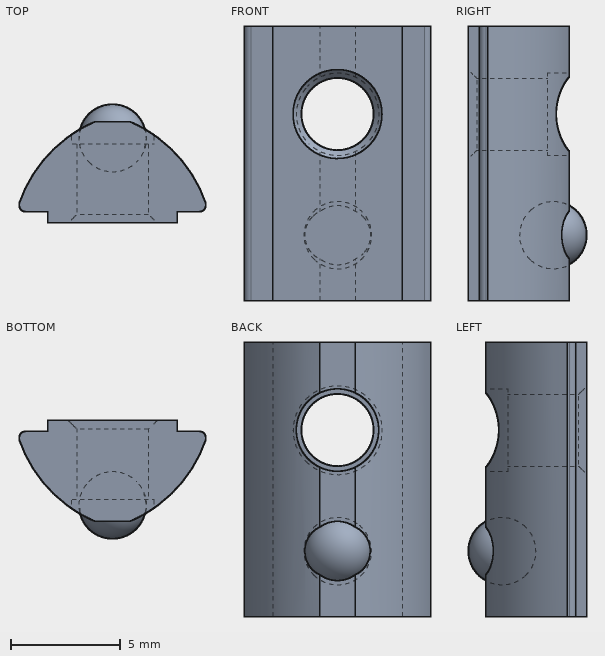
import cadquery as cq

LENGTH = 12.5
WIDTH = 8.5
HEIGHT = 4.6

TONGUE_WIDTH = 5.9
TONGUE_HEIGHT = 0.5
CREST_WIDTH = 1.6
CORNER_RADIUS = 0.3
FLANK_START_Y = 0.89
FLANK_RADIUS = 6.25

HOLE_DIAMETER = 3.28
HOLE_Z = 8.5
MOUTH_DIAMETER = 4.05
MOUTH_DEPTH = (MOUTH_DIAMETER - HOLE_DIAMETER) / 2
RELIEF_DIAMETER = 3.75
RELIEF_DEPTH = 1.0

BALL_DIAMETER = 3.08
BALL_TOP_Y = 5.4
BALL_Z = 3.0
BALL_Y = BALL_TOP_Y - BALL_DIAMETER / 2


def make_ball():
    """Full sphere seated in the crest of the nut."""
    return cq.Workplane("XY").sphere(BALL_DIAMETER / 2).translate((0, BALL_Y, BALL_Z))


def make_profile():
    """Symmetric nut section: tongue, rounded lower corners, side lands, curved flanks and crest flat."""
    side_x = WIDTH / 2
    half = (
        cq.Workplane("XY")
        .lineTo(TONGUE_WIDTH / 2, 0)
        .lineTo(TONGUE_WIDTH / 2, TONGUE_HEIGHT)
        .lineTo(side_x - CORNER_RADIUS, TONGUE_HEIGHT)
        .tangentArcPoint((side_x, TONGUE_HEIGHT + CORNER_RADIUS), relative=False)
        .lineTo(side_x, FLANK_START_Y)
        .radiusArc((CREST_WIDTH / 2, HEIGHT), -FLANK_RADIUS)
        .lineTo(0, HEIGHT)
    )
    return half.mirrorY()


def make_hole():
    """Through hole with a countersunk mouth and a wider crest end, as one revolved cutter."""
    hole_radius = HOLE_DIAMETER / 2
    relief_radius = RELIEF_DIAMETER / 2
    relief_floor = HEIGHT - RELIEF_DEPTH
    return (
        cq.Workplane("XY")
        .lineTo(MOUTH_DIAMETER / 2, 0)
        .lineTo(hole_radius, MOUTH_DEPTH)
        .lineTo(hole_radius, relief_floor)
        .lineTo(relief_radius, relief_floor)
        .lineTo(relief_radius, HEIGHT)
        .lineTo(0, HEIGHT)
        .close()
        .revolve(360, (0, 0, 0), (0, 1, 0))
        .translate((0, 0, HOLE_Z))
    )


def make_nut(ball):
    """Nut body with its hole and the matching spherical seat for the ball."""
    return make_profile().extrude(LENGTH).cut(make_hole()).cut(ball)


ball = make_ball()
nut = make_nut(ball)

result = cq.Compound.makeCompound([nut.val(), ball.val()])